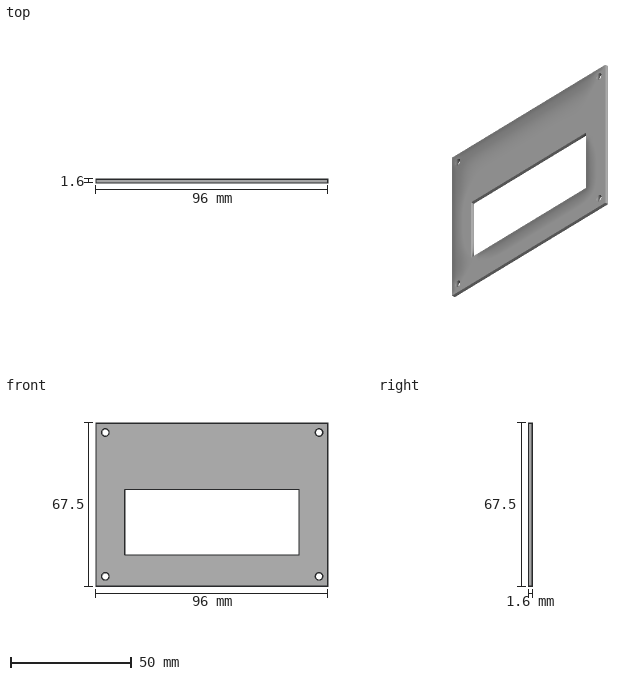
import cadquery as cq

plate_width = 96.0
plate_height = 67.5
plate_thickness = 1.6

window_width = 72.0
window_height = 27.0
window_bottom_margin = 13.0

hole_diameter = 3.0
hole_left_margin = 3.95
hole_right_margin = 3.65
hole_bottom_margin = 4.1
hole_top_margin = 3.9


def make_plate():
    """Flat panel with its lower left front corner at the origin."""
    return cq.Workplane("XY").box(plate_width, plate_thickness, plate_height, centered=False)


def make_window():
    """Block that cuts the window through the full thickness."""
    window_left = (plate_width - window_width) / 2
    block = cq.Workplane("XY").box(window_width, plate_thickness, window_height, centered=False)
    return block.translate((window_left, 0, window_bottom_margin))


def make_corner_holes():
    """Four cylinders along Y, one near each corner."""
    columns = (hole_left_margin, plate_width - hole_right_margin)
    rows = (hole_bottom_margin, plate_height - hole_top_margin)
    centers = [(x, z) for x in columns for z in rows]
    return cq.Workplane("XZ").pushPoints(centers).circle(hole_diameter / 2).extrude(-plate_thickness)


result = make_plate().cut(make_window()).cut(make_corner_holes())